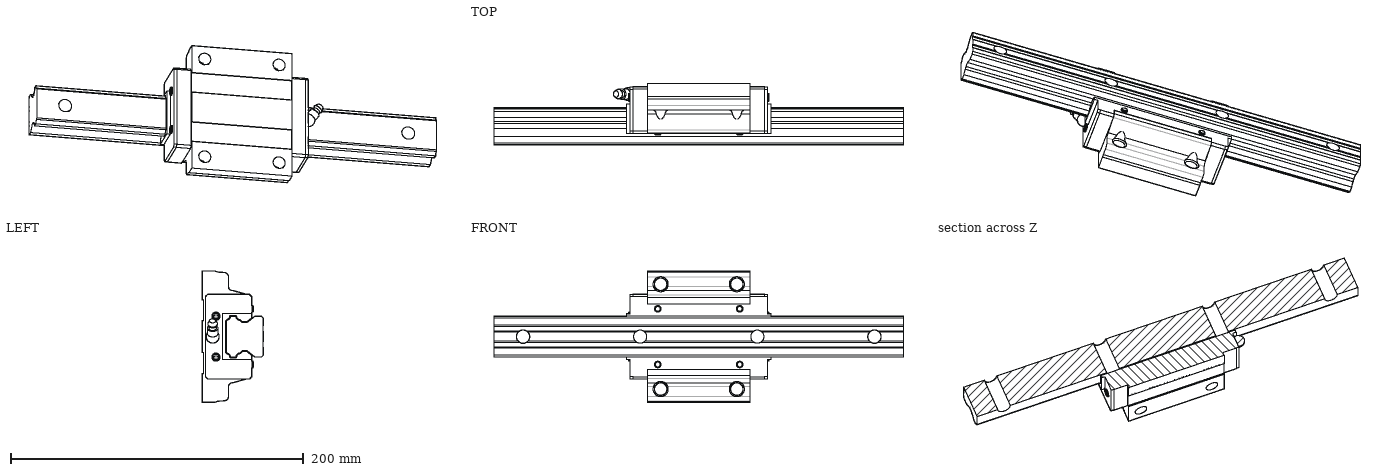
import cadquery as cq


TOTAL_LENGTH = 280.0
TOTAL_HEIGHT = 42.0
TOTAL_WIDTH = 90.0
BASE_Y = -TOTAL_HEIGHT / 2

RAIL_HEIGHT = 25.5
RAIL_HALF_WIDTH = 14.0
RAIL_WAIST_HALF_WIDTH = 9.8
RAIL_BASE_CHAMFER = 1.5
RAIL_FOOT_TOP = 6.0
WAIST_BOTTOM = 11.2
WAIST_TOP = 14.5
LOWER_TRACK_START = (16.0, 11.2)
LOWER_TRACK_MIDDLE = (18.0, 12.0)
LOWER_TRACK_END = 18.8
UPPER_TRACK_START = 22.7
UPPER_TRACK_MIDDLE = (23.2, 12.3)
UPPER_TRACK_END = (24.5, 11.5)
RAIL_TOP_HALF_WIDTH = 10.5
RAIL_HOLE_COUNT = 4
RAIL_HOLE_PITCH = 80.0
RAIL_HOLE_DIAMETER = 9.0
GROOVE_INNER_Z = 3.0
GROOVE_OUTER_Z = 7.8
GROOVE_WALL_WIDTH = 0.8
GROOVE_DEPTH = 0.3

RUNNING_GAP = 0.3
BLOCK_LENGTH = 70.3
CARRIAGE_BOTTOM = 7.8
BLOCK_BOTTOM = 8.0
RETAINER_HALF_WIDTH = 22.5
RETAINER_TOP = 11.2
RELIEF_INNER_Z = 11.0
RELIEF_OUTER_Z = 25.2
RELIEF_DEPTH = 0.8
FLANGE_BOTTOM = 23.8
FLANGE_EDGE_BOTTOM = 33.0
FLANGE_SIDE_TOP = (31.5, 44.2)
FLANGE_SIDE_BOTTOM = (27.0, 44.0)
FLANGE_ROUND_END_Z = 41.0
FLANGE_FILLET_START_Z = 34.2
SKIRT_TOP = (21.0, 31.5)
SKIRT_BOTTOM = (10.0, 28.5)
SKIRT_ROUND_END_Z = 26.5
FLANGE_HOLE_X = 26.0
FLANGE_HOLE_Z = 35.8
FLANGE_HOLE_DIAMETER = 8.5
FLANGE_MOUTH_DIAMETER = 10.5
FLANGE_CHAMFER_DEPTH = 0.8
END_X = 47.0
END_PLATE_THICKNESS = 2.0
END_PLATE_INSET = 0.15
CAP_TOP = 39.8
CAP_HALF_WIDTH = 29.0
CAP_CHAMFER = 1.7
SEAL_THICKNESS = 2.5
SEAL_TOP = 28.0
SEAL_HALF_WIDTH = 15.7

END_SCREW_HEIGHT = 32.5
END_SCREW_Z = 14.0
END_SCREW_RADIUS = 2.8
RETAINER_SCREW_X = 28.0
RETAINER_SCREW_Z = 19.0
RETAINER_SCREW_RADIUS = 2.2
SCREW_HEAD_HEIGHT = 1.0
SCREW_HEAD_CHAMFER = 0.5
CROSS_WIDTH = 1.0
CROSS_LENGTH = 3.5
CROSS_DEPTH = 0.8

NIPPLE_HEIGHT = 34.7
NIPPLE_X = -48.2
NIPPLE_HUB_RADIUS = 4.5
NIPPLE_TILT = 52.0
COLLAR_RADIUS = 3.5
COLLAR_END = 7.3
NECK_RADIUS = 2.5
NECK_END = 9.5
HEAD_RADIUS = 3.5
HEAD_RIM = 11.0
TIP_RADIUS = 2.2
TIP_END = 13.7


def y_at(height):
    """Y coordinate of a height above the underside of the rail."""
    return BASE_Y + height


def at(height, z):
    """Point of a YZ section."""
    return (y_at(height), z)


def box(x_min, x_max, height_min, height_max, half_width):
    """Box that is symmetric about Z = 0."""
    size = (x_max - x_min, height_max - height_min, 2 * half_width)
    centre = ((x_min + x_max) / 2, y_at((height_min + height_max) / 2), 0)
    return cq.Workplane("XY").box(*size).translate(centre)


def rail_section():
    """Closed YZ outline of the rail, with concave ball tracks above and below its head."""
    half = (
        cq.Workplane("YZ")
        .moveTo(*at(0, 0))
        .lineTo(*at(0, RAIL_HALF_WIDTH - RAIL_BASE_CHAMFER))
        .lineTo(*at(RAIL_BASE_CHAMFER, RAIL_HALF_WIDTH))
        .lineTo(*at(RAIL_FOOT_TOP, RAIL_HALF_WIDTH))
        .lineTo(*at(WAIST_BOTTOM, RAIL_WAIST_HALF_WIDTH))
        .lineTo(*at(WAIST_TOP, RAIL_WAIST_HALF_WIDTH))
        .lineTo(*at(*LOWER_TRACK_START))
        .threePointArc(at(*LOWER_TRACK_MIDDLE), at(LOWER_TRACK_END, RAIL_HALF_WIDTH))
        .lineTo(*at(UPPER_TRACK_START, RAIL_HALF_WIDTH))
        .threePointArc(at(*UPPER_TRACK_MIDDLE), at(*UPPER_TRACK_END))
        .lineTo(*at(RAIL_HEIGHT, RAIL_TOP_HALF_WIDTH))
        .lineTo(*at(RAIL_HEIGHT, 0))
    )
    return half.mirrorX()


def rail_channel(side):
    """Cutter for one shallow channel with sloping walls; side is +1 or -1."""
    points = [
        at(0, side * GROOVE_INNER_Z),
        at(GROOVE_DEPTH, side * (GROOVE_INNER_Z + GROOVE_WALL_WIDTH)),
        at(GROOVE_DEPTH, side * (GROOVE_OUTER_Z - GROOVE_WALL_WIDTH)),
        at(0, side * GROOVE_OUTER_Z),
    ]
    return cq.Workplane("YZ").polyline(points).close().extrude(TOTAL_LENGTH / 2, both=True)


def y_cylinder(x, z, radius, height_min, height_max):
    """Cylinder along Y."""
    start = cq.Vector(x, y_at(height_min), z)
    cylinder = cq.Solid.makeCylinder(radius, height_max - height_min, start, cq.Vector(0, 1, 0))
    return cq.Workplane(obj=cylinder)


def make_rail():
    rail = rail_section().extrude(TOTAL_LENGTH / 2, both=True)
    for side in (-1, 1):
        rail = rail.cut(rail_channel(side))
    for i in range(RAIL_HOLE_COUNT):
        x = (i - (RAIL_HOLE_COUNT - 1) / 2) * RAIL_HOLE_PITCH
        rail = rail.cut(y_cylinder(x, 0, RAIL_HOLE_DIAMETER / 2, 0, RAIL_HEIGHT))
    return rail


def make_block():
    """Steel block with two mounting flanges."""
    relief_height = TOTAL_HEIGHT - RELIEF_DEPTH
    half = (
        cq.Workplane("YZ")
        .moveTo(*at(TOTAL_HEIGHT, 0))
        .lineTo(*at(TOTAL_HEIGHT, RELIEF_INNER_Z))
        .lineTo(*at(relief_height, RELIEF_INNER_Z))
        .lineTo(*at(relief_height, RELIEF_OUTER_Z))
        .lineTo(*at(TOTAL_HEIGHT, RELIEF_OUTER_Z))
        .lineTo(*at(TOTAL_HEIGHT, TOTAL_WIDTH / 2))
        .lineTo(*at(FLANGE_EDGE_BOTTOM, TOTAL_WIDTH / 2))
        .lineTo(*at(*FLANGE_SIDE_TOP))
        .lineTo(*at(*FLANGE_SIDE_BOTTOM))
        .tangentArcPoint(at(FLANGE_BOTTOM, FLANGE_ROUND_END_Z), relative=False)
        .lineTo(*at(FLANGE_BOTTOM, FLANGE_FILLET_START_Z))
        .tangentArcPoint(at(*SKIRT_TOP), relative=False)
        .lineTo(*at(*SKIRT_BOTTOM))
        .tangentArcPoint(at(BLOCK_BOTTOM, SKIRT_ROUND_END_Z), relative=False)
        .lineTo(*at(BLOCK_BOTTOM, 0))
    )
    block = half.mirrorX().extrude(BLOCK_LENGTH / 2, both=True)
    for x in (-FLANGE_HOLE_X, FLANGE_HOLE_X):
        for z in (-FLANGE_HOLE_Z, FLANGE_HOLE_Z):
            block = block.cut(flange_hole(x, z))
    return block


def flange_hole(x, z):
    """Cutter for a through hole with a chamfered mouth and a clearance that scoops the sloping side."""
    hole = y_cylinder(x, z, FLANGE_HOLE_DIAMETER / 2, 0, TOTAL_HEIGHT)
    clearance = y_cylinder(x, z, FLANGE_MOUTH_DIAMETER / 2, 0, FLANGE_BOTTOM)
    mouth = cq.Solid.makeCone(
        FLANGE_MOUTH_DIAMETER / 2,
        FLANGE_HOLE_DIAMETER / 2,
        FLANGE_CHAMFER_DEPTH,
        cq.Vector(x, y_at(FLANGE_BOTTOM), z),
        cq.Vector(0, 1, 0),
    )
    return hole.union(clearance).union(cq.Workplane(obj=mouth))


def cap_prism(x_min, x_max, inset):
    """End piece with chamfered long edges, drawn in by the inset at its top and sides."""
    prism = box(x_min, x_max, CARRIAGE_BOTTOM, CAP_TOP - inset, CAP_HALF_WIDTH - inset)
    return prism.edges("|X").chamfer(CAP_CHAMFER)


def screw_head(radius):
    """Chamfered screw head standing on the XY plane."""
    head = cq.Workplane("XY").circle(radius).extrude(SCREW_HEAD_HEIGHT)
    return head.faces(">Z").chamfer(SCREW_HEAD_CHAMFER)


def end_screw():
    """Screw head with a cross recess, facing -X, on the end plate."""
    head = screw_head(END_SCREW_RADIUS)
    for turn in (0, 90):
        slot = cq.Workplane("XY").box(CROSS_LENGTH, CROSS_WIDTH, CROSS_DEPTH)
        slot = slot.translate((0, 0, SCREW_HEAD_HEIGHT - CROSS_DEPTH / 2))
        head = head.cut(slot.rotate((0, 0, 0), (0, 0, 1), turn))
    return head.rotate((0, 0, 0), (0, 1, 0), -90).translate((-END_X, y_at(END_SCREW_HEIGHT), 0))


def make_carriage_end():
    """End cap, end plate, seal and two screw heads at the -X end of the block."""
    plate_x = -END_X + END_PLATE_THICKNESS
    end = cap_prism(plate_x, -BLOCK_LENGTH / 2, 0)
    end = end.union(cap_prism(-END_X, plate_x, END_PLATE_INSET))
    end = end.union(box(-END_X - SEAL_THICKNESS, -END_X, CARRIAGE_BOTTOM, SEAL_TOP, SEAL_HALF_WIDTH))
    for z in (-END_SCREW_Z, END_SCREW_Z):
        end = end.union(end_screw().translate((0, 0, z)))
    return end


def retainer_screw(x, z):
    """Plain screw head on the underside of the retainer, facing -Y."""
    head = screw_head(RETAINER_SCREW_RADIUS)
    return head.rotate((0, 0, 0), (1, 0, 0), 90).translate((x, y_at(CARRIAGE_BOTTOM), z))


def make_carriage():
    end = make_carriage_end()
    half_block = BLOCK_LENGTH / 2
    carriage = make_block()
    carriage = carriage.union(
        box(-half_block, half_block, CARRIAGE_BOTTOM, RETAINER_TOP, RETAINER_HALF_WIDTH)
    )
    carriage = carriage.union(end).union(end.mirror("YZ"))
    for x in (-RETAINER_SCREW_X, RETAINER_SCREW_X):
        for z in (-RETAINER_SCREW_Z, RETAINER_SCREW_Z):
            carriage = carriage.union(retainer_screw(x, z))
    opening = rail_section().offset2D(RUNNING_GAP).extrude(TOTAL_LENGTH / 2, both=True)
    return carriage.cut(opening)


def make_nipple():
    """Angled grease nipple: ball hub seated flat on the -X end plate, with a tilted nozzle."""
    nozzle_profile = [
        (0, 0),
        (COLLAR_RADIUS, 0),
        (COLLAR_RADIUS, COLLAR_END),
        (NECK_RADIUS, COLLAR_END),
        (NECK_RADIUS, NECK_END),
        (HEAD_RADIUS, HEAD_RIM),
        (TIP_RADIUS, TIP_END),
        (0, TIP_END),
    ]
    nozzle = cq.Workplane("XZ").polyline(nozzle_profile).close().revolve(360, (0, 0), (0, 1))
    nozzle = nozzle.rotate((0, 0, 0), (0, 1, 0), NIPPLE_TILT - 90)
    nipple = cq.Workplane("XY").sphere(NIPPLE_HUB_RADIUS).union(nozzle)
    nipple = nipple.translate((NIPPLE_X, y_at(NIPPLE_HEIGHT), 0))
    return nipple.cut(box(-END_X, 0, 0, TOTAL_HEIGHT, CAP_HALF_WIDTH))


rail = make_rail()
carriage = make_carriage()
nipple = make_nipple()

result = cq.Compound.makeCompound([rail.val(), carriage.val(), nipple.val()])